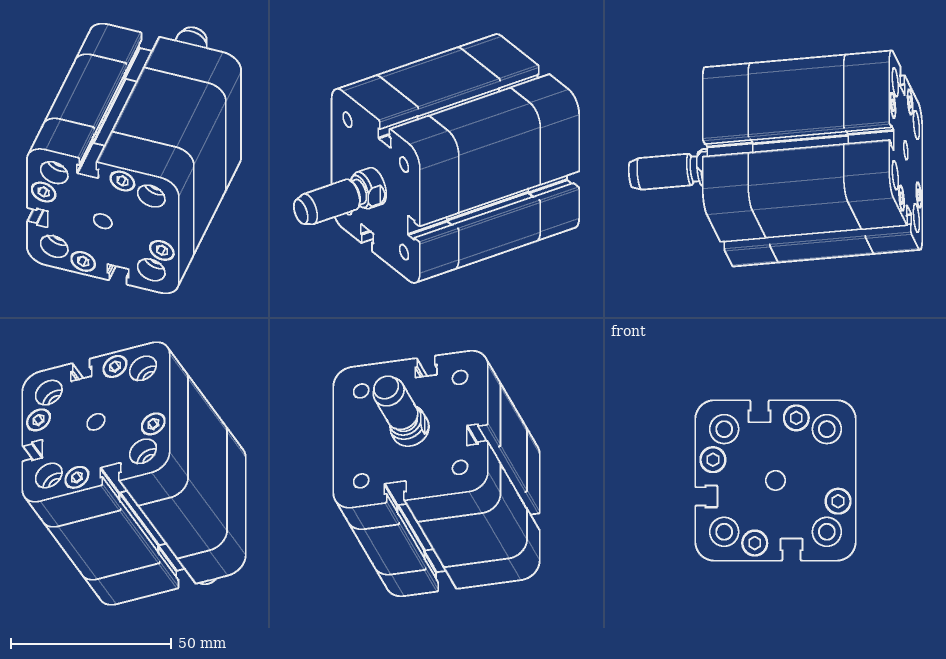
import cadquery as cq
import math


cap_side = 50.1
barrel_side = 50.0
body_length = 59.5
cap_length = 14.5
barrel_length = body_length - 2 * cap_length
cap_corner_radius = 6.1
barrel_corner_radius = 5.8

slot_offset = 5.0
mouth_width = 5.6
mouth_edge_radius = 0.5
lip_thickness = 3.2
slot_depth = 6.9
cap_pocket_width = 7.1
barrel_pocket_width = 6.6
pocket_corner_chamfer = 0.3
slot_angles = (0, 90, 180)

mount_pitch = 32.0
mount_hole_diameter = 4.9
mount_bore_diameter = 9.0
mount_bore_depth = 5.7
centre_hole_diameter = 6.0
centre_hole_depth = 7.9

screw_x = 6.5
screw_z = 19.5
screw_seat_diameter = 8.0
screw_head_diameter = 7.5
screw_head_height = 4.0
socket_width = 3.5
socket_depth = 3.5
socket_corner_radius = socket_width / math.sqrt(3)

rod_tip_y = 87.5
collar_end_y = 65.5
neck_end_y = 67.9
collar_diameter = 12.0
collar_nose_diameter = 10.5
collar_chamfer_length = 1.3
neck_diameter = 7.9
thread_diameter = 10.0
thread_runout_length = 0.9
tip_diameter = 8.0
tip_chamfer_length = 2.9
flats_width = 10.0
flats_start_y = 61.1


def bar(outline, y_start, length):
    """Extrude a closed list of (x, z) points along +Y."""
    return front_plane(y_start).polyline(outline).close().extrude(-length)


def front_plane(y):
    """XZ work plane at the given y; negative extrusions run toward +Y."""
    return cq.Workplane("XZ", origin=(0, y, 0))


def cylinder(x, z, diameter, y_start, length):
    return front_plane(y_start).center(x, z).circle(diameter / 2).extrude(-length)


def turned(solid, angle):
    """Turn a solid about the Y axis, counter-clockwise as seen from -Y."""
    return solid.rotate((0, 0, 0), (0, 1, 0), -angle)


def slot_cutter(side, pocket_width, y_start, length):
    """Slot in the +Z side, left of centre."""
    surface_z = side / 2
    lip_z = surface_z - lip_thickness
    floor_z = surface_z - slot_depth
    mouth = mouth_width / 2
    pocket = pocket_width / 2
    flare = mouth + mouth_edge_radius
    round_end_z = surface_z - mouth_edge_radius
    arc_inset = mouth_edge_radius * (1 - math.sqrt(0.5))
    arc_x = mouth + arc_inset
    arc_z = surface_z - arc_inset
    profile = (
        front_plane(y_start)
        .center(-slot_offset, 0)
        .moveTo(flare, surface_z)
        .threePointArc((arc_x, arc_z), (mouth, round_end_z))
        .lineTo(mouth, lip_z)
        .lineTo(pocket, lip_z)
        .lineTo(pocket, floor_z + pocket_corner_chamfer)
        .lineTo(pocket - pocket_corner_chamfer, floor_z)
        .lineTo(pocket_corner_chamfer - pocket, floor_z)
        .lineTo(-pocket, floor_z + pocket_corner_chamfer)
        .lineTo(-pocket, lip_z)
        .lineTo(-mouth, lip_z)
        .lineTo(-mouth, round_end_z)
        .threePointArc((-arc_x, arc_z), (-flare, surface_z))
        .close()
    )
    return profile.extrude(-length)


def body_section(side, y_start, length, corner_radius, pocket_width):
    section = front_plane(y_start).rect(side, side).extrude(-length)
    section = section.edges("|Y").fillet(corner_radius)
    cutter = slot_cutter(side, pocket_width, y_start, length)
    for angle in slot_angles:
        section = section.cut(turned(cutter, angle))
    return section


def screw_gap(x, z):
    """Ring around a screw head together with its hexagon socket."""
    seat = cylinder(x, z, screw_seat_diameter, 0, screw_head_height)
    head = cylinder(x, z, screw_head_diameter, 0, screw_head_height)
    corners = []
    for index in range(6):
        angle = math.radians(30 + 60 * index)
        corner_x = x + socket_corner_radius * math.cos(angle)
        corner_z = z + socket_corner_radius * math.sin(angle)
        corners.append((corner_x, corner_z))
    return seat.cut(head).union(bar(corners, 0, socket_depth))


def rod():
    """Turned rod with two wrench flats on its collar."""
    profile = [
        (0, body_length - cap_length / 2),
        (collar_diameter / 2, body_length - cap_length / 2),
        (collar_diameter / 2, collar_end_y - collar_chamfer_length),
        (collar_nose_diameter / 2, collar_end_y),
        (neck_diameter / 2, collar_end_y),
        (neck_diameter / 2, neck_end_y),
        (thread_diameter / 2, neck_end_y + thread_runout_length),
        (thread_diameter / 2, rod_tip_y - tip_chamfer_length),
        (tip_diameter / 2, rod_tip_y),
        (0, rod_tip_y),
    ]
    shaft = cq.Workplane("XY").polyline(profile).close().revolve(360, (0, 0, 0), (0, 1, 0))

    flat_x = flats_width / 2
    flat_rise = collar_diameter - flat_x
    flat_outline = [
        (flat_x, flats_start_y),
        (flat_x, collar_end_y),
        (flat_x + flat_rise, collar_end_y),
        (flat_x + flat_rise, flats_start_y - flat_rise),
    ]
    flat = cq.Workplane("XY").polyline(flat_outline).close().extrude(collar_diameter / 2, both=True)
    return shaft.cut(flat).cut(flat.mirror("YZ"))


body = body_section(cap_side, 0, cap_length, cap_corner_radius, cap_pocket_width)
barrel = body_section(
    barrel_side, cap_length, barrel_length, barrel_corner_radius, barrel_pocket_width
)
rear_cap = body_section(
    cap_side, cap_length + barrel_length, cap_length, cap_corner_radius, cap_pocket_width
)
body = body.union(barrel).union(rear_cap)

for x_sign in (-1, 1):
    for z_sign in (-1, 1):
        x = x_sign * mount_pitch / 2
        z = z_sign * mount_pitch / 2
        body = body.cut(cylinder(x, z, mount_hole_diameter, 0, body_length))
        body = body.cut(cylinder(x, z, mount_bore_diameter, 0, mount_bore_depth))

body = body.cut(cylinder(0, 0, centre_hole_diameter, 0, centre_hole_depth))

x, z = screw_x, screw_z
for _ in range(4):
    body = body.cut(screw_gap(x, z))
    x, z = -z, x

result = body.union(rod())